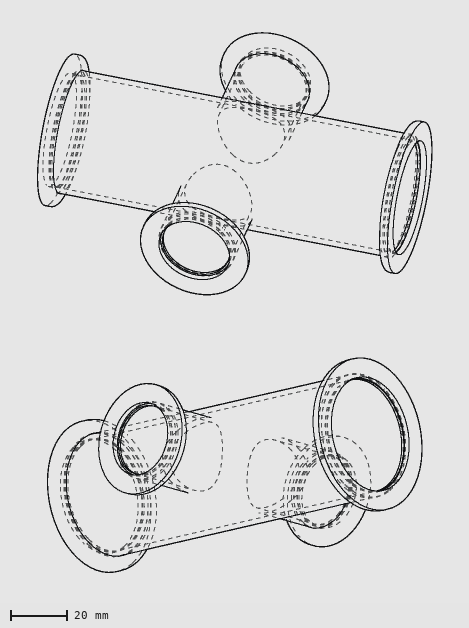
import cadquery as cq
import math

MAIN_LENGTH = 130.0
BRANCH_LENGTH = 100.0

MAIN_OUTER_DIA = 44.5
MAIN_INNER_DIA = 40.5
BRANCH_OUTER_DIA = 28.0
BRANCH_INNER_DIA = 25.0
JUNCTION_FILLET = 1.0

MAIN_FLANGE_DIA = 55.0
MAIN_RECESS_DIA = 41.2
MAIN_SOCKET_DIA = 44.7
BRANCH_FLANGE_DIA = 40.0
BRANCH_RECESS_DIA = 26.3
BRANCH_SOCKET_DIA = 28.1
FLANGE_THICKNESS = 4.4
RECESS_DEPTH = 2.2
SEAT_DEPTH = 3.2
CLAMP_ANGLE = math.radians(15)
RIM_FILLET = 1.5


def cylinder_along(axis_plane, diameter, length):
    """Cylinder centred on the origin, along the normal of the given plane."""
    return cq.Workplane(axis_plane).circle(diameter / 2).extrude(length / 2, both=True)


def make_cross_tube():
    """Main tube and its two branches as one piece, ending on the flange lips."""
    main_tube_length = MAIN_LENGTH - 2 * SEAT_DEPTH
    branch_tube_length = BRANCH_LENGTH - 2 * SEAT_DEPTH
    main_outside = cylinder_along("YZ", MAIN_OUTER_DIA, main_tube_length)
    branch_outside = cylinder_along("XZ", BRANCH_OUTER_DIA, branch_tube_length)
    outside = main_outside.union(branch_outside)

    junction_box = cq.selectors.BoxSelector(
        (-BRANCH_OUTER_DIA, -MAIN_OUTER_DIA / 2, -MAIN_OUTER_DIA),
        (BRANCH_OUTER_DIA, MAIN_OUTER_DIA / 2, MAIN_OUTER_DIA),
    )
    outside = outside.edges("not(%LINE)").edges(junction_box).fillet(JUNCTION_FILLET)

    main_bore = cylinder_along("YZ", MAIN_INNER_DIA, main_tube_length)
    branch_bore = cylinder_along("XZ", BRANCH_INNER_DIA, branch_tube_length)
    return outside.cut(main_bore).cut(branch_bore)


def make_flange(outer_dia, recess_dia, bore_dia, socket_dia):
    """Clamp flange around Z: sealing face at z = 0, tapered back towards +Z."""
    outer_radius = outer_dia / 2
    recess_radius = recess_dia / 2
    bore_radius = bore_dia / 2
    socket_radius = socket_dia / 2
    rim_thickness = FLANGE_THICKNESS - (outer_radius - socket_radius) * math.tan(CLAMP_ANGLE)
    flange = (
        cq.Workplane("XZ")
        .moveTo(recess_radius, 0)
        .lineTo(outer_radius, 0)
        .lineTo(outer_radius, rim_thickness)
        .lineTo(socket_radius, FLANGE_THICKNESS)
        .lineTo(socket_radius, SEAT_DEPTH)
        .lineTo(bore_radius, SEAT_DEPTH)
        .lineTo(bore_radius, RECESS_DEPTH)
        .lineTo(recess_radius, RECESS_DEPTH)
        .close()
        .revolve(360, (0, 0, 0), (0, 1, 0))
    )
    circles = flange.edges("%CIRCLE").edges("not <Z")
    return circles.edges(cq.selectors.RadiusNthSelector(-1)).fillet(RIM_FILLET)


def make_flange_pair(flange, end_distance, direction):
    """Two copies of a flange, facing out at both ends of a tube along the direction."""
    pair = []
    for side in (-1, 1):
        outward = direction * side
        end_plane = cq.Plane(origin=outward * end_distance, xDir=(0, 0, 1), normal=outward * -1)
        pair.append(flange.val().moved(cq.Location(end_plane)))
    return pair


cross_tube = make_cross_tube()
main_flange = make_flange(MAIN_FLANGE_DIA, MAIN_RECESS_DIA, MAIN_INNER_DIA, MAIN_SOCKET_DIA)
branch_flange = make_flange(BRANCH_FLANGE_DIA, BRANCH_RECESS_DIA, BRANCH_INNER_DIA, BRANCH_SOCKET_DIA)
main_flanges = make_flange_pair(main_flange, MAIN_LENGTH / 2, cq.Vector(1, 0, 0))
branch_flanges = make_flange_pair(branch_flange, BRANCH_LENGTH / 2, cq.Vector(0, 1, 0))

result = cq.Compound.makeCompound([cross_tube.val(), *main_flanges, *branch_flanges])